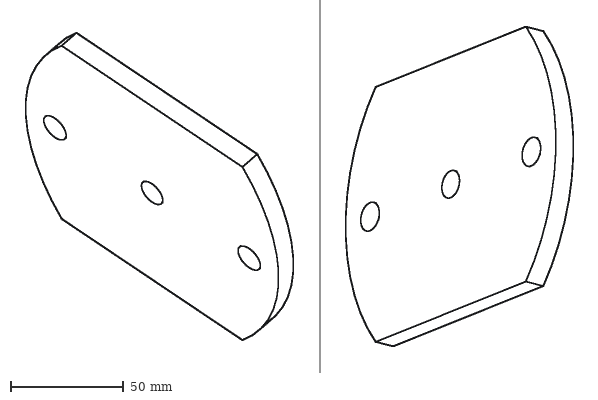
import cadquery as cq

length = 150.0
height = 120.0
thickness = 10.0
flat_length = 107.1

center_hole_diameter = 12.6
outer_hole_diameter = 13.2
outer_hole_spacing = 115.0

half_length = length / 2
half_height = height / 2
half_flat = flat_length / 2

plate = (
    cq.Workplane("XZ")
    .moveTo(-half_flat, half_height)
    .lineTo(half_flat, half_height)
    .threePointArc((half_length, 0), (half_flat, -half_height))
    .lineTo(-half_flat, -half_height)
    .threePointArc((-half_length, 0), (-half_flat, half_height))
    .close()
    .extrude(-thickness)
)


def through_holes(diameter, x_positions):
    """Round cutters through the plate at the given places along X."""
    return (
        cq.Workplane("XZ")
        .pushPoints([(x, 0) for x in x_positions])
        .circle(diameter / 2)
        .extrude(-thickness)
    )


center_hole = through_holes(center_hole_diameter, [0])
outer_holes = through_holes(outer_hole_diameter, [-outer_hole_spacing / 2, outer_hole_spacing / 2])

result = plate.cut(center_hole).cut(outer_holes)